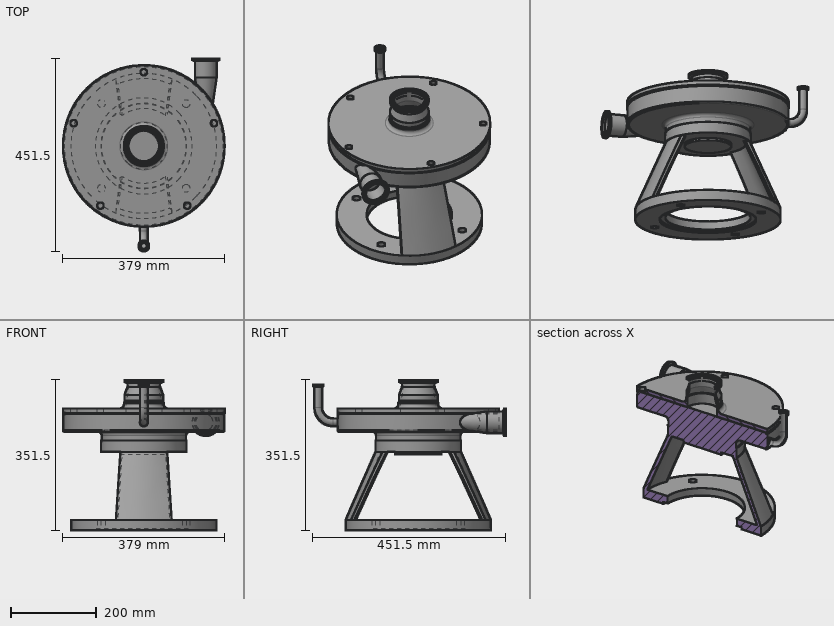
import cadquery as cq
import math

BASE_TOP = 25.0
COLLAR_BOTTOM = 184.0
COLLAR_TOP = 210.0
DRUM_BOTTOM = 231.0
DRUM_TOP = 272.5
COVER_BOTTOM = 275.0
COVER_TOP = 285.5
INLET_TOP = 351.5

BASE_RADIUS = 170.5
BASE_OPENING_RADIUS = 100.0
BASE_RECESS_RADIUS = 113.0
BASE_RECESS_DEPTH = 5.0
BASE_HOLE_CIRCLE_RADIUS = 140.0
BASE_HOLE_RADIUS = 9.0
BASE_HOLE_COUNT = 4
COLLAR_RADIUS = 100.5
LEG_THICKNESS = 12.5
LEG_TOP_HALF_WIDTH = 55.0
LEG_BOTTOM_HALF_WIDTH = 65.5
LEG_CHAMFER = 5.5

DRUM_RADIUS = 189.0
DRUM_FILLET = 3.5
NECK_RADIUS = 99.0
NECK_FILLET = 9.0
PILOT_RADIUS = 54.5
PILOT_BOTTOM = 178.0
SEAT_RADIUS = 185.5
PORT_HEIGHT = 253.0

OUTLET_X = 145.0
OUTLET_END_Y = 205.0
OUTLET_RADIUS = 25.7
OUTLET_BORE_RADIUS = 24.0
OUTLET_CONE_Y = 160.5
OUTLET_ROOT_Y = 67.8
OUTLET_ROOT_RADIUS = 12.0
OUTLET_FLANGE_RADIUS = 32.0

DRAIN_RADIUS = 9.5
DRAIN_BORE_RADIUS = 7.2
DRAIN_FLANGE_RADIUS = 12.5
DRAIN_Y = -234.0
DRAIN_BEND_RADIUS = 35.0
DRAIN_TOP = 342.0

FLANGE_RIM = 4.0
FLANGE_BACK = 2.5
DRAIN_FLANGE_BACK = 2.0
GASKET_GROOVE_WIDTH = 3.5
GASKET_GROOVE_DEPTH = 1.5
DRAIN_GASKET_GROOVE_WIDTH = 1.5

COVER_RADIUS = 379.0 / 2
COVER_HOLE_CIRCLE_RADIUS = 172.5
COVER_HOLE_RADIUS = 7.5
COVER_HOLE_COUNT = 5

BOSS_RADIUS = 47.0
BOSS_FILLET = 9.0
BOSS_TOP = 298.0
BOSS_CHAMFER = 2.5
GROOVE_RADIUS = 44.0
GROOVE_TOP = 302.5
BULGE_RADIUS = 45.5
BULGE_CHAMFER = 1.5
BULGE_TOP = 316.5
INLET_TUBE_RADIUS = 38.5
INLET_TUBE_BOTTOM = 336.0
INLET_BORE_RADIUS = 35.5
INLET_BORE_BOTTOM = 323.0
INLET_LIP_CHAMFER = 1.5
BULGE_BORE_RADIUS = 42.0
INLET_FLANGE_RADIUS = 45.5


def disc(radius, bottom, top):
    return cq.Workplane("XY", origin=(0, 0, bottom)).circle(radius).extrude(top - bottom)


def hole_ring(circle_radius, count, start_angle, radius, bottom, top):
    return (
        cq.Workplane("XY", origin=(0, 0, bottom))
        .polarArray(circle_radius, start_angle, 360, count)
        .circle(radius)
        .extrude(top - bottom)
    )


def revolve_z(profile):
    """Turn a closed profile in the XZ plane around the Z axis."""
    return profile.close().revolve(360, (0, 0, 0), (0, 1, 0))


def ferrule(rim_radius, tube_radius, back, groove_width):
    """Flange around the Z axis with its face at z = 0, tapering down to the tube.

    A gasket groove lies in the face, halfway between the tube and the rim.
    """
    flange = revolve_z(
        cq.Workplane("XZ")
        .lineTo(rim_radius, 0)
        .lineTo(rim_radius, -FLANGE_RIM)
        .lineTo(tube_radius, -FLANGE_RIM - back)
        .lineTo(0, -FLANGE_RIM - back)
    )
    groove_radius = (rim_radius + tube_radius) / 2
    groove = disc(groove_radius + groove_width / 2, -GASKET_GROOVE_DEPTH, 0).cut(
        disc(groove_radius - groove_width / 2, -GASKET_GROOVE_DEPTH, 0)
    )
    return flange.cut(groove)


def inner_leg_edges():
    """Selects the long edges on the inside of the legs, by the box around their midpoints."""
    mean_radius = (BASE_RADIUS + COLLAR_RADIUS - LEG_THICKNESS) / 2
    mean_half_width = (LEG_BOTTOM_HALF_WIDTH + LEG_TOP_HALF_WIDTH) / 2
    reach = math.sqrt(mean_radius**2 - mean_half_width**2)
    mid_height = (BASE_TOP + COLLAR_BOTTOM) / 2
    half_height = (COLLAR_BOTTOM - BASE_TOP) / 4
    return cq.selectors.BoxSelector(
        (-BASE_RADIUS, -reach, mid_height - half_height),
        (BASE_RADIUS, reach, mid_height + half_height),
    )


def legs():
    """Two opposite strips of a conical shell, at -Y and +Y, from the base to the collar."""
    shell = revolve_z(
        cq.Workplane("XZ")
        .moveTo(BASE_RADIUS - LEG_THICKNESS, BASE_TOP)
        .lineTo(BASE_RADIUS, BASE_TOP)
        .lineTo(COLLAR_RADIUS, COLLAR_BOTTOM)
        .lineTo(COLLAR_RADIUS - LEG_THICKNESS, COLLAR_BOTTOM)
    )
    strip = (
        cq.Workplane("XZ")
        .moveTo(-LEG_BOTTOM_HALF_WIDTH, BASE_TOP)
        .lineTo(LEG_BOTTOM_HALF_WIDTH, BASE_TOP)
        .lineTo(LEG_TOP_HALF_WIDTH, COLLAR_BOTTOM)
        .lineTo(-LEG_TOP_HALF_WIDTH, COLLAR_BOTTOM)
        .close()
        .extrude(BASE_RADIUS, both=True)
    )
    pair = shell.intersect(strip)
    return pair.edges(inner_leg_edges()).chamfer(LEG_CHAMFER)


def stand():
    base = disc(BASE_RADIUS, 0, BASE_TOP).cut(disc(BASE_OPENING_RADIUS, 0, BASE_TOP))
    base = base.cut(disc(BASE_RECESS_RADIUS, 0, BASE_RECESS_DEPTH))
    base = base.cut(
        hole_ring(BASE_HOLE_CIRCLE_RADIUS, BASE_HOLE_COUNT, 45, BASE_HOLE_RADIUS, 0, BASE_TOP)
    )
    return base.union(legs()).union(disc(COLLAR_RADIUS, COLLAR_BOTTOM, COLLAR_TOP))


def drum():
    """Drum with its neck below and the cover seat above, as one turned shape."""
    diagonal = math.sqrt(0.5)
    neck_fillet_x = NECK_RADIUS + NECK_FILLET
    neck_fillet_z = DRUM_BOTTOM - NECK_FILLET
    drum_fillet_x = DRUM_RADIUS - DRUM_FILLET
    drum_fillet_z = DRUM_BOTTOM + DRUM_FILLET
    return revolve_z(
        cq.Workplane("XZ")
        .moveTo(0, COLLAR_TOP)
        .lineTo(NECK_RADIUS, COLLAR_TOP)
        .lineTo(NECK_RADIUS, neck_fillet_z)
        .threePointArc(
            (neck_fillet_x - NECK_FILLET * diagonal, neck_fillet_z + NECK_FILLET * diagonal),
            (neck_fillet_x, DRUM_BOTTOM),
        )
        .lineTo(drum_fillet_x, DRUM_BOTTOM)
        .threePointArc(
            (drum_fillet_x + DRUM_FILLET * diagonal, drum_fillet_z - DRUM_FILLET * diagonal),
            (DRUM_RADIUS, drum_fillet_z),
        )
        .lineTo(DRUM_RADIUS, DRUM_TOP)
        .lineTo(SEAT_RADIUS, DRUM_TOP)
        .lineTo(SEAT_RADIUS, COVER_BOTTOM)
        .lineTo(0, COVER_BOTTOM)
    )


def add_outlet(body):
    """Add the branch, which narrows towards the drum, and bore it as far as the drum."""
    branch = (
        cq.Workplane("XY")
        .lineTo(OUTLET_ROOT_RADIUS, 0)
        .lineTo(OUTLET_RADIUS, OUTLET_CONE_Y - OUTLET_ROOT_Y)
        .lineTo(OUTLET_RADIUS, OUTLET_END_Y - OUTLET_ROOT_Y)
        .lineTo(0, OUTLET_END_Y - OUTLET_ROOT_Y)
        .close()
        .revolve(360, (0, 0, 0), (0, 1, 0))
        .translate((OUTLET_X, OUTLET_ROOT_Y, PORT_HEIGHT))
    )
    flange = (
        ferrule(OUTLET_FLANGE_RADIUS, OUTLET_RADIUS, FLANGE_BACK, GASKET_GROOVE_WIDTH)
        .rotate((0, 0, 0), (1, 0, 0), -90)
        .translate((OUTLET_X, OUTLET_END_Y, PORT_HEIGHT))
    )
    bore = (
        cq.Workplane("XZ", origin=(OUTLET_X, OUTLET_END_Y, PORT_HEIGHT))
        .circle(OUTLET_BORE_RADIUS)
        .extrude(OUTLET_END_Y - OUTLET_CONE_Y)
    )
    return body.union(branch).union(flange).cut(bore)


def drain_pipe(radius, start_y):
    """Solid rod along the drain line, from start_y inside the drum to the open top end."""
    bend_start_y = DRAIN_Y + DRAIN_BEND_RADIUS
    bend_end_z = PORT_HEIGHT + DRAIN_BEND_RADIUS
    level = (
        cq.Workplane("XZ", origin=(0, start_y, PORT_HEIGHT))
        .circle(radius)
        .extrude(start_y - bend_start_y)
    )
    bend = (
        cq.Workplane("XZ", origin=(0, bend_start_y, PORT_HEIGHT))
        .circle(radius)
        .revolve(90, (4.5, DRAIN_BEND_RADIUS, 0), (-4.5, DRAIN_BEND_RADIUS, 0))
    )
    riser = (
        cq.Workplane("XY", origin=(0, DRAIN_Y, bend_end_z))
        .circle(radius)
        .extrude(DRAIN_TOP - bend_end_z)
    )
    return level.union(bend).union(riser)


def add_drain(body):
    overlap = DRAIN_RADIUS
    flange = ferrule(
        DRAIN_FLANGE_RADIUS, DRAIN_RADIUS, DRAIN_FLANGE_BACK, DRAIN_GASKET_GROOVE_WIDTH
    )
    return (
        body.union(drain_pipe(DRAIN_RADIUS, overlap - DRUM_RADIUS))
        .union(flange.translate((0, DRAIN_Y, DRAIN_TOP)))
        .cut(drain_pipe(DRAIN_BORE_RADIUS, -DRUM_RADIUS))
    )


def casing():
    """Pump casing with the stand that carries it."""
    body = drum().union(stand()).union(disc(PILOT_RADIUS, PILOT_BOTTOM, COLLAR_BOTTOM))
    return add_drain(add_outlet(body))


def cover():
    """Flat cover with bolt holes and the inlet neck in its centre."""
    plate = disc(COVER_RADIUS, COVER_BOTTOM, COVER_TOP).cut(
        hole_ring(
            COVER_HOLE_CIRCLE_RADIUS, COVER_HOLE_COUNT, 90, COVER_HOLE_RADIUS, COVER_BOTTOM, COVER_TOP
        )
    )
    fillet_x = BOSS_RADIUS + BOSS_FILLET
    fillet_z = COVER_TOP + BOSS_FILLET
    fillet_mid = BOSS_FILLET * math.sqrt(0.5)
    neck = revolve_z(
        cq.Workplane("XZ")
        .moveTo(0, COVER_TOP)
        .lineTo(fillet_x, COVER_TOP)
        .threePointArc((fillet_x - fillet_mid, fillet_z - fillet_mid), (BOSS_RADIUS, fillet_z))
        .lineTo(BOSS_RADIUS, BOSS_TOP)
        .lineTo(GROOVE_RADIUS, BOSS_TOP + BOSS_CHAMFER)
        .lineTo(GROOVE_RADIUS, GROOVE_TOP)
        .lineTo(BULGE_RADIUS, GROOVE_TOP + BULGE_CHAMFER)
        .lineTo(BULGE_RADIUS, BULGE_TOP)
        .lineTo(INLET_TUBE_RADIUS, INLET_TUBE_BOTTOM)
        .lineTo(INLET_TUBE_RADIUS, INLET_TOP)
        .lineTo(0, INLET_TOP)
    )
    bore = revolve_z(
        cq.Workplane("XZ")
        .moveTo(0, COVER_BOTTOM)
        .lineTo(BULGE_BORE_RADIUS, COVER_BOTTOM)
        .lineTo(BULGE_BORE_RADIUS, GROOVE_TOP)
        .lineTo(INLET_BORE_RADIUS, INLET_BORE_BOTTOM)
        .lineTo(INLET_BORE_RADIUS, INLET_TOP - INLET_LIP_CHAMFER)
        .lineTo(INLET_BORE_RADIUS + INLET_LIP_CHAMFER, INLET_TOP)
        .lineTo(0, INLET_TOP)
    )
    flange = ferrule(INLET_FLANGE_RADIUS, INLET_TUBE_RADIUS, FLANGE_BACK, GASKET_GROOVE_WIDTH)
    return plate.union(neck).union(flange.translate((0, 0, INLET_TOP))).cut(bore)


pump_casing = casing()
pump_cover = cover()
result = cq.Compound.makeCompound([pump_casing.val(), pump_cover.val()])